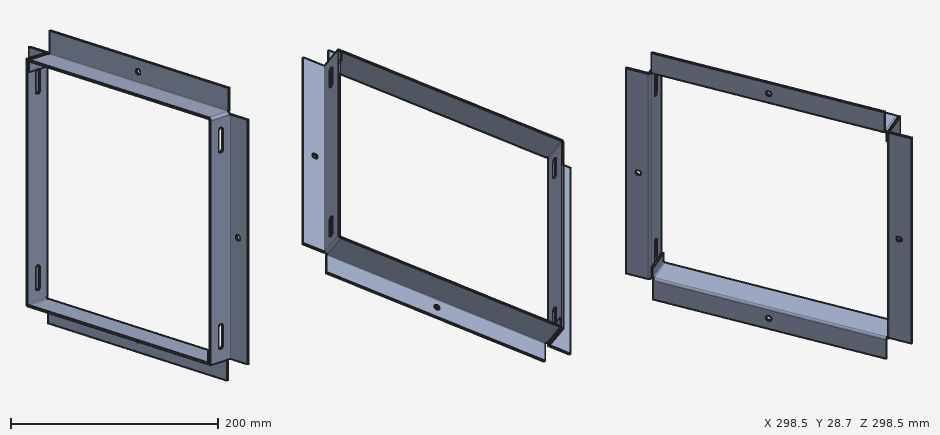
import cadquery as cq

size = 298.5
depth = 28.7
sheet = 2.0
wall_span = 252.0
bend_outer = 3.0
bend_inner = bend_outer - sheet
root_inner = 0.3
root_outer = root_inner + sheet
tab_length = 12.8

hole_diameter = 6.0
hole_offset = 136.5
slot_width = 6.0
slot_length = 25.5
slot_offset = 100.0
slot_depth = 14.5

outer = wall_span / 2
inner = outer - sheet
flange_edge = size / 2
flange_end = outer - bend_outer
front = -depth / 2
back = depth / 2
strip_back = back - root_outer


def wall_strip():
    """Lap tab, top wall and right wall as one strip with rounded bends."""
    tab_outer = -inner
    tab_inner = tab_outer + sheet
    tab_end = outer - tab_length
    profile = (
        cq.Workplane("XZ", origin=(0, strip_back, 0))
        .moveTo(tab_outer, tab_end)
        .lineTo(tab_outer, outer - bend_outer)
        .radiusArc((tab_outer + bend_outer, outer), bend_outer)
        .lineTo(outer - bend_outer, outer)
        .radiusArc((outer, outer - bend_outer), bend_outer)
        .lineTo(outer, -outer)
        .lineTo(inner, -outer)
        .lineTo(inner, inner - bend_inner)
        .radiusArc((inner - bend_inner, inner), -bend_inner)
        .lineTo(tab_inner + bend_inner, inner)
        .radiusArc((tab_inner, inner - bend_inner), -bend_inner)
        .lineTo(tab_inner, tab_end)
        .close()
    )
    return profile.extrude(strip_back - front)


def flange(run_start, run_end):
    """Top flange with its bend, running along X and meeting the top wall at the bend's front edge."""
    profile = (
        cq.Workplane("YZ", origin=(run_start, 0, 0))
        .moveTo(strip_back, inner)
        .radiusArc((back, inner + root_outer), -root_outer)
        .lineTo(back, flange_edge)
        .lineTo(back - sheet, flange_edge)
        .lineTo(back - sheet, outer + root_inner)
        .radiusArc((strip_back, outer), root_inner)
        .close()
    )
    return profile.extrude(run_end - run_start)


def flange_holes():
    return (
        cq.Workplane("XZ", origin=(0, back, 0))
        .pushPoints([(0, hole_offset), (hole_offset, 0)])
        .circle(hole_diameter / 2)
        .extrude(sheet)
    )


def wall_slots():
    return (
        cq.Workplane("YZ", origin=(inner, 0, 0))
        .pushPoints([(back - slot_depth, slot_offset), (back - slot_depth, -slot_offset)])
        .slot2D(slot_length, slot_width, 90)
        .extrude(sheet)
    )


def frame_half(turn):
    top_flange = flange(-inner + bend_outer, flange_end)
    right_flange = flange(-flange_end, outer).rotate((0, 0, 0), (0, 1, 0), 90)
    half = wall_strip().union(top_flange).union(right_flange)
    half = half.cut(flange_holes()).cut(wall_slots())
    return half.rotate((0, 0, 0), (0, 1, 0), turn)


halves = [frame_half(turn).val() for turn in (0, 180)]
result = cq.Compound.makeCompound(halves)